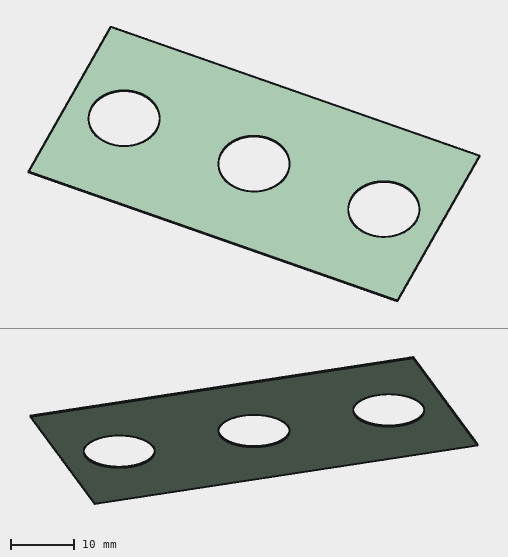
import cadquery as cq

length = 63.5
width = length / 2
thickness = 0.25

hole_diameter = 11.2
hole_pitch = 2 * hole_diameter
hole_count = 3

plate = cq.Workplane("XY").box(length, width, thickness)

result = (
    plate.faces(">Z")
    .workplane()
    .rarray(hole_pitch, width, hole_count, 1)
    .hole(hole_diameter)
)